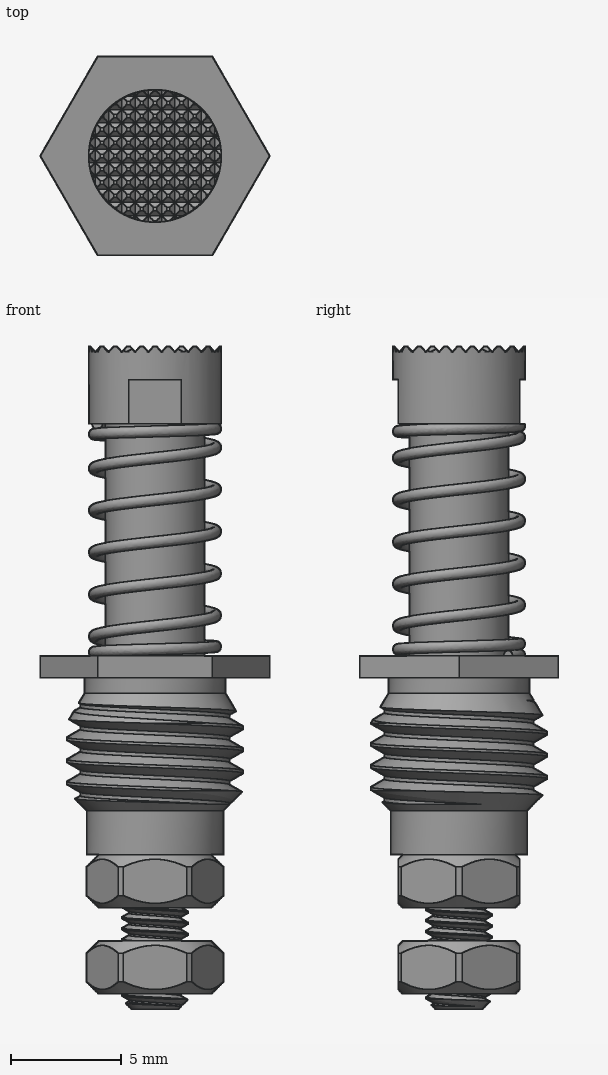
import cadquery as cq
import math

tip_z = -15.0
nut_height = 2.4
lower_nut_z = -14.3
upper_nut_z = -10.4
collar_z = upper_nut_z + nut_height
thread_bottom_z = -6.0
neck_z = -0.7
flange_top_z = 1.0
head_z = 11.5
head_top_z = 15.0

head_diameter = 6.0
head_flat_width = 5.5
head_flat_height = 2.0
knurl_pitch = 0.6
knurl_depth = 0.25
knurl_land = 0.15

shaft_diameter = 4.5
wire_diameter = 0.5
coil_radius = (head_diameter - wire_diameter) / 2
coil_pitch = 1.9
active_turns = 4.9
end_pitch = 0.5
end_turns = 1.2
coil_middle_angle = math.radians(288)
points_per_turn = 12

flange_width = 9.0
neck_diameter = 6.4
collar_diameter = 6.2
body_major_diameter = 8.0
body_pitch = 1.0
body_crest_z = -2.25
body_top_taper = 1.35
body_bottom_taper = (body_major_diameter - collar_diameter) / 2

screw_major_diameter = 3.0
screw_pitch = 0.5
screw_crest_z = -11.1
screw_tip_diameter = 2.1
screw_top_z = upper_nut_z + nut_height / 2
screw_tip_taper = 0.45
nut_width = 5.5
nut_corner_diameter = 6.2
nut_face_diameter = 5.1
nut_chamfer_height = (nut_corner_diameter - nut_face_diameter) / 2

crest_ratio = 1 / 8
root_ratio = 1 / 6
thread_depth_ratio = (1 - crest_ratio - root_ratio) / (2 * math.tan(math.pi / 6))
clearance_ratio = 0.05


def cylinder(diameter, bottom, top):
    return cq.Workplane("XY").workplane(offset=bottom).circle(diameter / 2).extrude(top - bottom)


def hexagon(width, bottom, top):
    """Hexagonal prism with its corners on the X axis and flats facing Y."""
    across_corners = width / math.cos(math.pi / 6)
    return cq.Workplane("XY").workplane(offset=bottom).polygon(6, across_corners).extrude(top - bottom)


def turned(profile):
    """Solid of revolution about Z from (radius, height) points; the axis closes the outline."""
    bottom = profile[0][1]
    top = profile[-1][1]
    outline = [(0, bottom)] + profile + [(0, top)]
    return cq.Workplane("XZ").polyline(outline).close().revolve(360, (0, 0), (0, 1))


def threaded(envelope, major_diameter, pitch, crest_z):
    """Turned envelope with a left-hand V groove running along its whole length."""
    bounds = envelope.val().BoundingBox()
    clearance = clearance_ratio * pitch
    root_radius = major_diameter / 2 - thread_depth_ratio * pitch
    outer_radius = major_diameter / 2 + clearance
    half_root = root_ratio * pitch / 2
    half_mouth = half_root + (outer_radius - root_radius) * math.tan(math.pi / 6)

    groove_z = crest_z + pitch / 2
    start_z = groove_z - pitch * (math.ceil((groove_z - bounds.zmin) / pitch) + 1)
    length = pitch * (math.ceil((bounds.zmax - start_z) / pitch) + 1)
    path = cq.Wire.makeHelix(pitch, length, root_radius, cq.Vector(0, 0, start_z), lefthand=True)
    groove = (
        cq.Workplane("XZ")
        .polyline([
            (outer_radius, start_z - half_mouth),
            (root_radius, start_z - half_root),
            (root_radius, start_z + half_root),
            (outer_radius, start_z + half_mouth),
        ])
        .close()
        .sweep(cq.Workplane(path), isFrenet=True)
    )
    overrun = 2 * pitch
    rod = cylinder(major_diameter, start_z - overrun, start_z + length + overrun)
    rod = rod.rotate((0, 0, 0), (0, 0, 1), 180)
    return rod.cut(groove).intersect(envelope)


def knurl_grooves():
    """V grooves along X and Y that leave a grid of blunt pyramids on the head."""
    half_groove = (knurl_pitch - knurl_land) / 2
    count = math.ceil(head_diameter / knurl_pitch / 2)
    grooves = []
    for index in range(-count, count):
        center = (index + 0.5) * knurl_pitch
        for plane in ("XZ", "YZ"):
            groove = (
                cq.Workplane(plane)
                .polyline([
                    (center - half_groove, head_top_z),
                    (center, head_top_z - knurl_depth),
                    (center + half_groove, head_top_z),
                ])
                .close()
                .extrude(head_diameter, both=True)
            )
            grooves.append(groove)
    return grooves


def head():
    body = cylinder(head_diameter, head_z, head_top_z)
    flats = (
        cq.Workplane("XY")
        .workplane(offset=head_z)
        .rect(2 * head_diameter, head_flat_width)
        .extrude(head_flat_height)
    )
    upper = cylinder(head_diameter, head_z + head_flat_height, head_top_z)
    body = body.intersect(flats.union(upper))
    for groove in knurl_grooves():
        body = body.cut(groove)
    return body


def coil_point(turn):
    """Point on the wire centre line; the pitch drops in the closed end turns."""
    half_active = active_turns / 2
    active = max(-half_active, min(half_active, turn))
    angle = coil_middle_angle + 2 * math.pi * turn
    middle_z = (flange_top_z + head_z) / 2
    height = middle_z + active * coil_pitch + (turn - active) * end_pitch
    return cq.Vector(coil_radius * math.cos(angle), coil_radius * math.sin(angle), height)


def spring():
    """Compression spring whose closed ends are ground flush with the flange and the head."""
    half_turns = active_turns / 2 + end_turns
    steps = round(2 * half_turns * points_per_turn)
    points = [coil_point(half_turns * (2 * step / steps - 1)) for step in range(steps + 1)]
    path = cq.Edge.makeSpline(points)
    start_plane = cq.Plane(path.startPoint(), normal=path.tangentAt(0))
    wire = (
        cq.Workplane(start_plane)
        .circle(wire_diameter / 2)
        .sweep(cq.Workplane(cq.Wire.assembleEdges([path])), isFrenet=True)
    )
    return wire.intersect(cylinder(2 * head_diameter, flange_top_z, head_z))


def body_thread():
    major_radius = body_major_diameter / 2
    envelope = turned([
        (collar_diameter / 2, thread_bottom_z),
        (major_radius, thread_bottom_z + body_bottom_taper),
        (major_radius, neck_z - body_top_taper),
        (neck_diameter / 2, neck_z),
    ])
    return threaded(envelope, body_major_diameter, body_pitch, body_crest_z)


def screw():
    major_radius = screw_major_diameter / 2
    envelope = turned([
        (screw_tip_diameter / 2, tip_z),
        (major_radius, tip_z + screw_tip_taper),
        (major_radius, screw_top_z),
    ])
    return threaded(envelope, screw_major_diameter, screw_pitch, screw_crest_z)


def nut(bottom):
    top = bottom + nut_height
    envelope = turned([
        (nut_face_diameter / 2, bottom),
        (nut_corner_diameter / 2, bottom + nut_chamfer_height),
        (nut_corner_diameter / 2, top - nut_chamfer_height),
        (nut_face_diameter / 2, top),
    ])
    return hexagon(nut_width, bottom, top).intersect(envelope)


housing = (
    hexagon(flange_width, 0, flange_top_z)
    .union(cylinder(neck_diameter, neck_z, 0))
    .union(body_thread())
    .union(cylinder(collar_diameter, collar_z, thread_bottom_z))
)
plunger = cylinder(shaft_diameter, flange_top_z, head_z).union(head())
fasteners = screw().union(nut(lower_nut_z)).union(nut(upper_nut_z))

result = plunger.union(spring()).union(housing, clean=False).union(fasteners, clean=False)